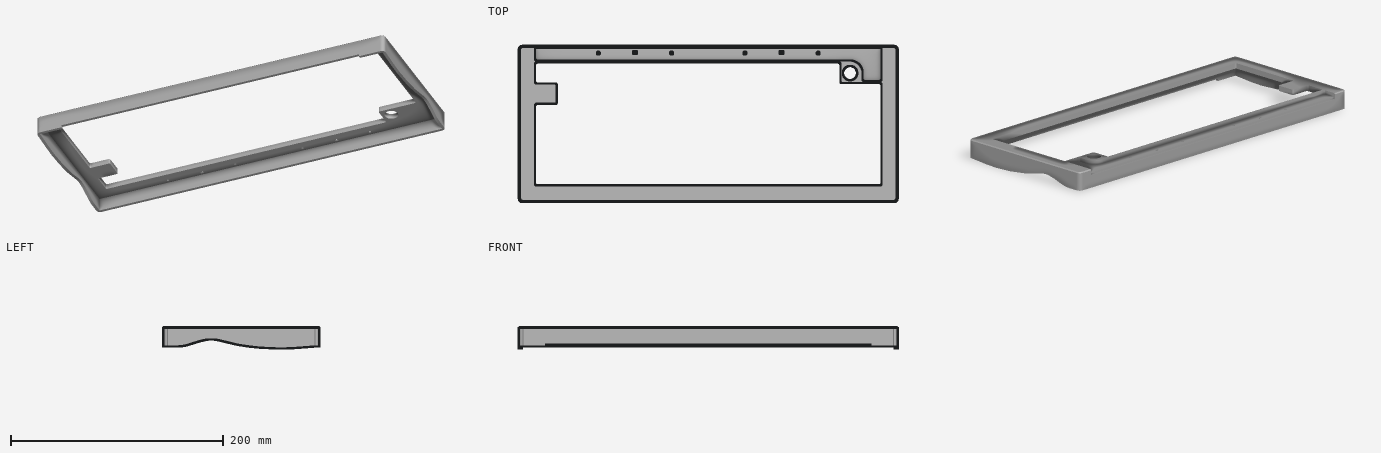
import cadquery as cq

LENGTH = 356.8
DEPTH = 147.25
HEIGHT = 20.29
BELLY = 2.0
TOP = HEIGHT - BELLY
CORNER_RADIUS = 4.0
EDGE_CHAMFER = 1.0

WALL = 3.0
PLATE = 5.3
SIDE_ARM = 15.4
END_BAR = 16.0
OPENING_RADIUS = 1.5

OPENING_LENGTH = LENGTH - 2 * SIDE_ARM
OPENING_DEPTH = DEPTH - 2 * END_BAR
ARM_X = OPENING_LENGTH / 2
BAR_Y = OPENING_DEPTH / 2
REAR = DEPTH / 2

LEFT_TAB_REACH = 20.4
LEFT_TAB_WIDTH = 19.4
LEFT_TAB_Y = 28.5
RIGHT_TAB_REACH = 38.7
RIGHT_TAB_FRONT = 38.4

KNOB_X = 133.5
KNOB_Y = 47.9
KNOB_DIAMETER = 13.2

POCKET_DEPTH = 4.0
POCKET_LIP = 2.1
LEDGE_WIDTH = 2.0
LEDGE_DROP = 2.0
FLOOR = TOP - POCKET_DEPTH

HOLE_PITCH = 34.5
SCREW_DIAMETER = 2.4
SCREW_Y = 66.7
SLOT_LENGTH = 3.2
SLOT_WIDTH = 2.1
SLOT_Y = 67.3

NOTCH_LENGTH = 305.0
NOTCH_HEIGHT = 2.2

WAVE_REAR = (60.0, 0.0)
WAVE_RISE = (46.0, 2.8)
WAVE_CREST = (28.0, 6.7)
WAVE_FALL = (11.5, 3.4)
WAVE_CROSSING = (-8.0, -0.1)
WAVE_BELLY = (-36.0, -BELLY)
WAVE_FRONT = (CORNER_RADIUS - REAR, 0.0)
WAVE_START_DIRECTION = (-1, 0)
WAVE_END_DIRECTION = (-1, 0.08)


def block(x_min, x_max, y_min, y_max, z_min, z_max):
    """Box given by its limits."""
    box = cq.Workplane("XY").box(x_max - x_min, y_max - y_min, z_max - z_min, centered=False)
    return box.translate((x_min, y_min, z_min))


def outer_body():
    """Solid envelope with rounded corners and a chamfered top edge."""
    body = cq.Workplane("XY").workplane(offset=-BELLY).rect(LENGTH, DEPTH).extrude(HEIGHT)
    return body.edges("|Z").fillet(CORNER_RADIUS).faces(">Z").edges().chamfer(EDGE_CHAMFER)


def space_below_foot():
    """Material to remove under the wavy foot, across the whole length."""
    profile = (
        cq.Workplane("YZ")
        .moveTo(REAR, 0)
        .lineTo(*WAVE_REAR)
        .spline(
            [WAVE_RISE, WAVE_CREST, WAVE_FALL, WAVE_CROSSING, WAVE_BELLY, WAVE_FRONT],
            tangents=[WAVE_START_DIRECTION, WAVE_END_DIRECTION],
            includeCurrent=True,
        )
        .lineTo(-REAR, 0)
        .lineTo(-REAR, -HEIGHT)
        .lineTo(REAR, -HEIGHT)
        .close()
    )
    return profile.extrude(LENGTH / 2, both=True)


def space_inside_walls():
    """Hollow under the top plate."""
    return block(-LENGTH / 2 + WALL, LENGTH / 2 - WALL, -REAR + WALL, REAR - WALL, -BELLY, TOP - PLATE)


def opening():
    """Window through the plate, leaving the two tabs."""
    left_tab = block(
        -ARM_X, -ARM_X + LEFT_TAB_REACH,
        LEFT_TAB_Y - LEFT_TAB_WIDTH / 2, LEFT_TAB_Y + LEFT_TAB_WIDTH / 2,
        -BELLY, TOP,
    )
    right_tab = block(ARM_X - RIGHT_TAB_REACH, ARM_X, RIGHT_TAB_FRONT, BAR_Y, -BELLY, TOP)
    window = block(-ARM_X, ARM_X, -BAR_Y, BAR_Y, -BELLY, TOP)
    return window.cut(left_tab).cut(right_tab).edges("|Z").fillet(OPENING_RADIUS)


def rear_pocket():
    """Recess along the rear bar that wraps around the round hole."""
    lip_y = BAR_Y + POCKET_LIP
    bay_front = RIGHT_TAB_FRONT + POCKET_LIP
    land_radius = lip_y - KNOB_Y
    bay = block(KNOB_X, ARM_X, bay_front, REAR, FLOOR, TOP)
    land = (
        cq.Workplane("XY")
        .workplane(offset=FLOOR)
        .center(KNOB_X, KNOB_Y)
        .circle(land_radius)
        .extrude(POCKET_DEPTH)
    )
    land = land.union(block(KNOB_X, KNOB_X + land_radius, bay_front, KNOB_Y, FLOOR, TOP))
    bay = bay.cut(land).edges("|Z and <Y").fillet(OPENING_RADIUS)
    trough = block(-ARM_X, KNOB_X, lip_y, REAR, FLOOR, TOP).edges("|Z and <X and <Y").fillet(OPENING_RADIUS)
    pocket = trough.union(bay)
    ledge = block(-ARM_X, ARM_X, REAR - LEDGE_WIDTH, REAR, FLOOR - LEDGE_DROP, TOP)
    return pocket.union(ledge)


def floor_holes():
    """Alternating round holes and slots, each mirrored about the centre."""
    screws = [(side * n * HOLE_PITCH, SCREW_Y) for side in (-1, 1) for n in (1, 3)]
    slots = [(side * 2 * HOLE_PITCH, SLOT_Y) for side in (-1, 1)]
    tools = cq.Workplane("XY").pushPoints(screws).circle(SCREW_DIAMETER / 2).extrude(TOP)
    return tools.union(cq.Workplane("XY").pushPoints(slots).rect(SLOT_LENGTH, SLOT_WIDTH).extrude(TOP))


def knob_hole():
    """Round hole through the right tab."""
    return cq.Workplane("XY").center(KNOB_X, KNOB_Y).circle(KNOB_DIAMETER / 2).extrude(TOP)


def front_notch():
    """Shallow notch in the foot of the front wall."""
    return block(-NOTCH_LENGTH / 2, NOTCH_LENGTH / 2, -REAR, -REAR + WALL, -BELLY, NOTCH_HEIGHT)


result = outer_body()
for tool in (
    space_below_foot(),
    space_inside_walls(),
    opening(),
    rear_pocket(),
    floor_holes(),
    knob_hole(),
    front_notch(),
):
    result = result.cut(tool)